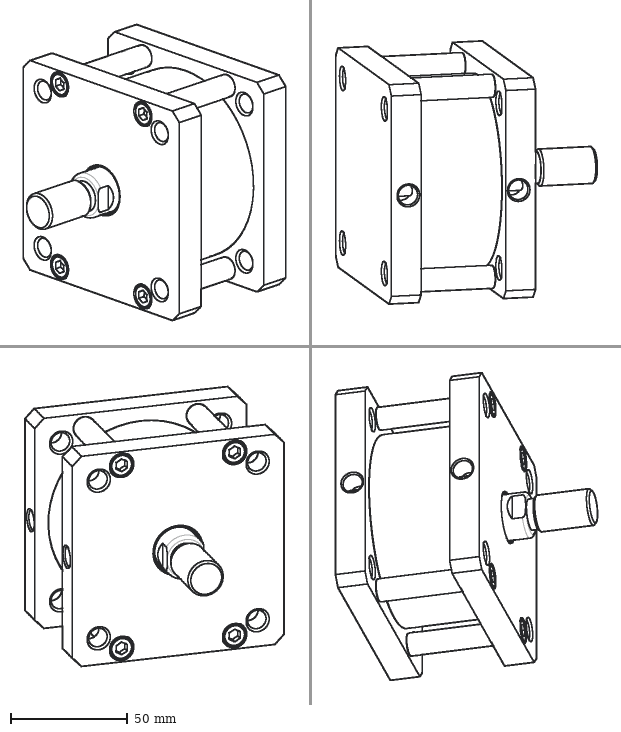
import cadquery as cq
import math


PLATE_SIDE = 96.0
PLATE_THICKNESS = 13.2
PLATE_CORNER_CHAMFER = 4.2
BODY_LENGTH = 64.0
FRONT_INNER_Y = PLATE_THICKNESS
REAR_INNER_Y = BODY_LENGTH - PLATE_THICKNESS

MOUNT_OFFSET = 36.0
MOUNT_HOLE_DIAMETER = 8.38
MOUNT_COUNTERSINK_DIAMETER = 10.5

PORT_INSET = 7.5
PORT_DIAMETER = 8.57
PORT_COUNTERSINK_DIAMETER = 10.0
PORT_DEPTH = 12.0
DRILL_TIP_ANGLE = 118.0
PORT_BAR_DIAMETER = 5.0

TUBE_OUTER_DIAMETER = 84.0
TUBE_BORE = 80.0
END_CHAMFER = 0.3

ROD_DIAMETER = 20.0
ROD_COLLAR_LENGTH = 10.0
COLLAR_FILLET = 1.5
UNDERCUT_DIAMETER = 13.5
UNDERCUT_LENGTH = 3.0
THREAD_DIAMETER = 16.0
THREAD_TIP_Y = -38.0
THREAD_CHAMFER = 1.0
WRENCH_FLAT_WIDTH = 16.7
WRENCH_FLAT_START = 4.0

ROD_OPENING_STEPS = ((22.5, 0.5), (21.9, 1.0), (20.6, 2.0))

TIE_X = 25.6
TIE_Z = 41.8
TIE_DIAMETER = 10.0
TIE_NECK_DIAMETER = 6.9
TIE_HEAD_DIAMETER = 10.0
TIE_HEAD_LENGTH = 6.0
TIE_HEAD_CHAMFER = 0.5
TIE_END_LENGTH = 10.0
COUNTERBORE_DIAMETER = 11.0
HEX_ACROSS_FLATS = 5.0
HEX_DEPTH = 3.0
HEX_TURN = 30.0

TIE_POSITIONS = [(x, z) for x in (-TIE_X, TIE_X) for z in (-TIE_Z, TIE_Z)]
MOUNT_POSITIONS = [(x, z) for x in (-MOUNT_OFFSET, MOUNT_OFFSET) for z in (-MOUNT_OFFSET, MOUNT_OFFSET)]
Y_DIRECTION = cq.Vector(0, 1, 0)
X_DIRECTION = cq.Vector(1, 0, 0)


def y_cylinder(diameter, y_start, y_end, x=0.0, z=0.0):
    """Cylinder parallel to Y between two Y positions."""
    solid = cq.Solid.makeCylinder(diameter / 2, y_end - y_start, cq.Vector(x, y_start, z), Y_DIRECTION)
    return cq.Workplane(obj=solid)


def cone(start_diameter, end_diameter, length, base, direction):
    """Cone or cone frustum that starts at a base point and runs along a direction."""
    return cq.Workplane(obj=cq.Solid.makeCone(start_diameter / 2, end_diameter / 2, length, base, direction))


def mounting_hole(x, z, y_start, y_end):
    """Through hole with a 45 degree countersink at both ends."""
    depth = (MOUNT_COUNTERSINK_DIAMETER - MOUNT_HOLE_DIAMETER) / 2
    sinks = [
        cone(MOUNT_COUNTERSINK_DIAMETER, MOUNT_HOLE_DIAMETER, depth, cq.Vector(x, y, z), direction)
        for y, direction in ((y_start, Y_DIRECTION), (y_end, -Y_DIRECTION))
    ]
    return y_cylinder(MOUNT_HOLE_DIAMETER, y_start, y_end, x, z).union(sinks[0]).union(sinks[1])


def air_port(y):
    """Countersunk blind hole with a drill-tip bottom, crossed by a bar near its end."""
    mouth = cq.Vector(-PLATE_SIDE / 2, y, 0)
    bottom = mouth + X_DIRECTION * PORT_DEPTH
    tip_length = PORT_DIAMETER / 2 / math.tan(math.radians(DRILL_TIP_ANGLE / 2))
    sink_depth = (PORT_COUNTERSINK_DIAMETER - PORT_DIAMETER) / 2
    port = cq.Workplane(obj=cq.Solid.makeCylinder(PORT_DIAMETER / 2, PORT_DEPTH, mouth, X_DIRECTION))
    port = port.union(cone(PORT_DIAMETER, 0, tip_length, bottom, X_DIRECTION))
    port = port.union(cone(PORT_COUNTERSINK_DIAMETER, PORT_DIAMETER, sink_depth, mouth, X_DIRECTION))
    bar = y_cylinder(PORT_BAR_DIAMETER, y - PORT_DIAMETER, y + PORT_DIAMETER, bottom.x)
    return port.cut(bar)


def plate_blank(y_start, port_y):
    """Square plate with bevelled corners, mounting holes and an air port."""
    plate = (
        cq.Workplane("XY")
        .box(PLATE_SIDE, PLATE_THICKNESS, PLATE_SIDE)
        .edges("|Y")
        .chamfer(PLATE_CORNER_CHAMFER)
        .translate((0, y_start + PLATE_THICKNESS / 2, 0))
    )
    for x, z in MOUNT_POSITIONS:
        plate = plate.cut(mounting_hole(x, z, y_start, y_start + PLATE_THICKNESS))
    return plate.cut(air_port(port_y))


def make_front_plate():
    plate = plate_blank(0, PORT_INSET)
    plate = plate.cut(y_cylinder(ROD_DIAMETER, 0, FRONT_INNER_Y))
    for diameter, depth in ROD_OPENING_STEPS:
        plate = plate.cut(y_cylinder(diameter, 0, depth))
    for x, z in TIE_POSITIONS:
        plate = plate.cut(y_cylinder(COUNTERBORE_DIAMETER, 0, TIE_HEAD_LENGTH, x, z))
        plate = plate.cut(y_cylinder(TIE_NECK_DIAMETER, 0, FRONT_INNER_Y, x, z))
    return plate


def make_rear_plate():
    plate = plate_blank(REAR_INNER_Y, BODY_LENGTH - PORT_INSET)
    for x, z in TIE_POSITIONS:
        plate = plate.cut(y_cylinder(TIE_NECK_DIAMETER, REAR_INNER_Y, REAR_INNER_Y + TIE_END_LENGTH, x, z))
    return plate


def make_tube():
    tube = y_cylinder(TUBE_OUTER_DIAMETER, FRONT_INNER_Y, REAR_INNER_Y)
    tube = tube.faces("<Y or >Y").edges().chamfer(END_CHAMFER)
    return tube.cut(y_cylinder(TUBE_BORE, FRONT_INNER_Y, REAR_INNER_Y))


def make_rod():
    """Rod with a rounded collar, two wrench flats, an undercut and a chamfered thread."""
    collar_y = -ROD_COLLAR_LENGTH
    thread_y = collar_y - UNDERCUT_LENGTH
    collar = y_cylinder(ROD_DIAMETER, collar_y, FRONT_INNER_Y).faces("<Y").edges().fillet(COLLAR_FILLET)
    flat_x = WRENCH_FLAT_WIDTH / 2
    outer_x = ROD_DIAMETER / 2
    flat = (
        cq.Workplane("XY")
        .polyline([
            (flat_x, collar_y),
            (flat_x, -WRENCH_FLAT_START),
            (outer_x, -WRENCH_FLAT_START + outer_x - flat_x),
            (outer_x, collar_y),
        ])
        .close()
        .extrude(ROD_DIAMETER / 2, both=True)
    )
    collar = collar.cut(flat).cut(flat.mirror("YZ"))
    undercut = y_cylinder(UNDERCUT_DIAMETER, thread_y, collar_y)
    thread = y_cylinder(THREAD_DIAMETER, THREAD_TIP_Y, thread_y)
    thread = thread.faces("<Y or >Y").edges().chamfer(THREAD_CHAMFER)
    return collar.union(undercut).union(thread)


def make_tie_bolt(x, z):
    """Socket head in the front plate, thick shaft between the plates, threaded end in the rear plate."""
    head = y_cylinder(TIE_HEAD_DIAMETER, 0, TIE_HEAD_LENGTH, x, z)
    head = head.faces("<Y").edges().chamfer(TIE_HEAD_CHAMFER)
    neck = y_cylinder(TIE_NECK_DIAMETER, TIE_HEAD_LENGTH, REAR_INNER_Y + TIE_END_LENGTH, x, z)
    shaft = y_cylinder(TIE_DIAMETER, FRONT_INNER_Y, REAR_INNER_Y, x, z)
    shaft = shaft.faces("<Y or >Y").edges().chamfer(END_CHAMFER)
    hex_diameter = HEX_ACROSS_FLATS / math.cos(math.pi / 6)
    tip_length = hex_diameter / 2 / math.tan(math.radians(DRILL_TIP_ANGLE / 2))
    prism = (
        cq.Workplane("XZ")
        .polygon(6, hex_diameter)
        .extrude(-HEX_DEPTH - tip_length)
        .rotate((0, 0, 0), (0, 1, 0), HEX_TURN)
        .translate((x, 0, z))
    )
    envelope = y_cylinder(hex_diameter, 0, HEX_DEPTH, x, z)
    envelope = envelope.union(cone(hex_diameter, 0, tip_length, cq.Vector(x, HEX_DEPTH, z), Y_DIRECTION))
    socket = prism.intersect(envelope)
    return head.union(neck).union(shaft).cut(socket)


front_plate = make_front_plate()
rear_plate = make_rear_plate()
tube = make_tube()
rod = make_rod()
tie_bolts = [make_tie_bolt(x, z) for x, z in TIE_POSITIONS]

result = cq.Compound.makeCompound([
    front_plate.val(),
    rear_plate.val(),
    tube.val(),
    rod.val(),
    *[bolt.val() for bolt in tie_bolts],
])